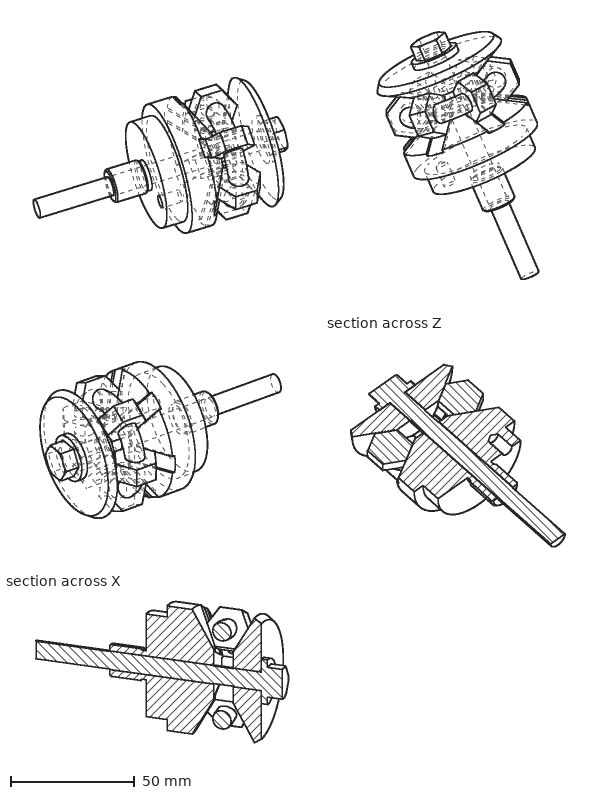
import cadquery as cq
import math


overall_length = 106.5
hexagon_sides = 6
body_radius = 27.3
cone_angle = math.radians(30)
cone_slope = math.tan(cone_angle)

segment_count = 6
segment_width = 8.0
ring_radius = 19.2
wire_radius = 4.0
segment_inradius = body_radius - ring_radius
segment_corner_diameter = 2 * segment_inradius / math.cos(cone_angle)
segment_half_flat = segment_corner_diameter / 4
segment_inner_radius = ring_radius - segment_inradius

rod_radius = 3.9
flange_radius = 9.8
flange_thickness = 2.7
head_corner_diameter = 15.2
head_height = 6.4
head_chamfer_height = 0.3
head_chamfer_width = 0.6

disc_cone_end_y = segment_half_flat
disc_rim_y = disc_cone_end_y + (body_radius - segment_inner_radius) * cone_slope
disc_thickness_above_rim = 3.1
disc_back_radius = 25.2
disc_back_y = disc_rim_y + disc_thickness_above_rim

flange_top_y = disc_back_y + flange_thickness
head_top_y = flange_top_y + head_height
tip_y = head_top_y - overall_length

base_rim_y = -12.8
base_cone_end_y = base_rim_y + (body_radius - segment_inner_radius) * cone_slope
base_shoulder_y = -23.6
base_front_y = -32.7
spigot_radius = 22.5
neck_radius = 6.4
stud_radius = 7.0
stud_chamfer = stud_radius - neck_radius
stud_start_y = -34.4
stud_end_y = -48.5
cut_clearance = 1.1

pin_hole_x = 15.1
pin_hole_radius = 2.6
pin_hole_depth = 8.5
drill_tip_angle = 118
drill_tip_depth = pin_hole_radius / math.tan(math.radians(drill_tip_angle / 2))


def revolve_about_y(points):
    """Revolve a closed (radius, y) outline about the Y axis."""
    return cq.Workplane("XY").polyline(points).close().revolve(360, (0, 0, 0), (0, 1, 0))


def around_axis(shape):
    """Evenly spaced copies of a shape around the Y axis."""
    step = 360 / segment_count
    return [shape.rotate((0, 0, 0), (0, 1, 0), i * step) for i in range(segment_count)]


def make_segment_ring():
    """Round wire ring carrying hexagonal segments, flat side outwards."""
    ring = (
        cq.Workplane("XY")
        .center(ring_radius, 0)
        .circle(wire_radius)
        .revolve(360, (-ring_radius, 0, 0), (-ring_radius, 1, 0))
    )
    segment = (
        cq.Workplane("XY")
        .center(ring_radius, 0)
        .transformed(rotate=(0, 0, 90))
        .polygon(hexagon_sides, segment_corner_diameter)
        .extrude(segment_width / 2, both=True)
    )
    for copy in around_axis(segment):
        ring = ring.union(copy)
    return ring


def make_bolt():
    """Flanged hexagon bolt with a plain rod."""
    shaft = revolve_about_y([
        (0, tip_y),
        (rod_radius, tip_y),
        (rod_radius, disc_back_y),
        (flange_radius, disc_back_y),
        (flange_radius, flange_top_y),
        (0, flange_top_y),
    ])
    hexagon = (
        cq.Workplane("XZ", origin=(0, flange_top_y, 0))
        .polygon(hexagon_sides, head_corner_diameter)
        .extrude(-head_height)
    )
    corner_radius = head_corner_diameter / 2
    envelope = revolve_about_y([
        (0, flange_top_y),
        (corner_radius, flange_top_y),
        (corner_radius, head_top_y - head_chamfer_height),
        (corner_radius - head_chamfer_width, head_top_y),
        (0, head_top_y),
    ])
    return shaft.union(hexagon.intersect(envelope))


def make_disc():
    """Cone disc with a bore for the rod."""
    return revolve_about_y([
        (rod_radius, disc_cone_end_y),
        (segment_inner_radius, disc_cone_end_y),
        (body_radius, disc_rim_y),
        (disc_back_radius, disc_back_y),
        (rod_radius, disc_back_y),
    ])


def make_guide_slot():
    """Cutter along +X whose floor continues the inner slanted face of a segment."""
    outer_radius = body_radius + cut_clearance
    top_y = base_cone_end_y + cut_clearance

    def floor_y(radius):
        return -segment_half_flat - (radius - segment_inner_radius) * cone_slope

    inner_radius = segment_inner_radius - (top_y + segment_half_flat) / cone_slope
    return (
        cq.Workplane("XY")
        .polyline([(inner_radius, top_y), (outer_radius, floor_y(outer_radius)), (outer_radius, top_y)])
        .close()
        .extrude(segment_width / 2, both=True)
    )


def make_base():
    """Coned base with guide slots, spigot, necked stud and a blind pin hole."""
    base = revolve_about_y([
        (rod_radius, base_cone_end_y),
        (segment_inner_radius, base_cone_end_y),
        (body_radius, base_rim_y),
        (body_radius, base_shoulder_y),
        (spigot_radius, base_shoulder_y),
        (spigot_radius, base_front_y),
        (neck_radius, base_front_y),
        (neck_radius, stud_start_y),
        (stud_radius, stud_start_y - stud_chamfer),
        (stud_radius, stud_end_y + stud_chamfer),
        (stud_radius - stud_chamfer, stud_end_y),
        (rod_radius, stud_end_y),
    ])
    for slot in around_axis(make_guide_slot()):
        base = base.cut(slot)
    pin_hole = revolve_about_y([
        (0, base_front_y),
        (pin_hole_radius, base_front_y),
        (pin_hole_radius, base_front_y + pin_hole_depth),
        (0, base_front_y + pin_hole_depth + drill_tip_depth),
    ]).translate((pin_hole_x, 0, 0))
    return base.cut(pin_hole)


base = make_base()
segment_ring = make_segment_ring()
disc = make_disc()
bolt = make_bolt()

result = cq.Compound.makeCompound([base.val(), segment_ring.val(), disc.val(), bolt.val()])